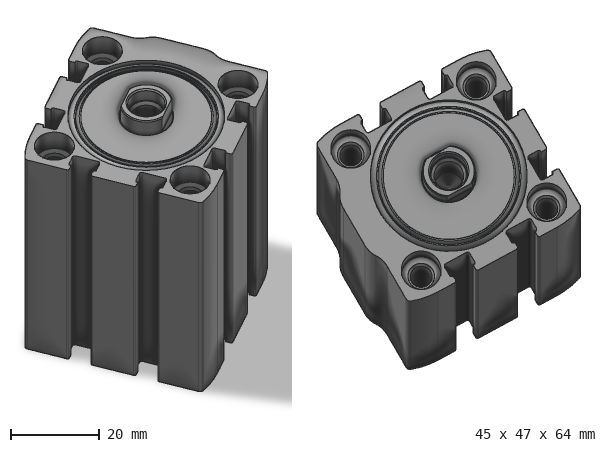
import cadquery as cq
import math

width = 45.0
housing_height = 60.0
half = width / 2
side_flat_half = 15.4
side_arc_radius = 19.0
corner_radius = 1.0
corner_search = 0.1
bump_height = 2.0
bump_flat_half = 5.0
bump_blend_radius = 6.0

slot_offset = 8.0
slot_opening = 5.2
slot_inner_width = 6.5
slot_depth = 4.9
lip_thickness = 1.65
lip_radius = 0.5
slot_deep_radius = 0.6
slot_lip_corner_radius = 0.4

hole_offset = 32.5 / 2
hole_diameter = 4.92
hole_chamfer_diameter = 6.0
counterbore_diameter = 9.0
counterbore_depth = 5.2

mouth_radius = 35.4 / 2
rim_outer_radius = 32.6 / 2
rim_inner_radius = 32.0 / 2
rim_recess = 0.4
rim_slope = math.radians(30)
cap_recess = 0.3
cap_face_radius = 29.6 / 2
cap_step_radius = 30.3 / 2
cap_step_depth = 0.2
cap_hole_chamfer = 0.2
cap_bevel_slope = math.radians(40)

rod_diameter = 12.0
rod_top = 64.0
rod_insertion = 20.0
rod_edge_chamfer = 0.25
flat_width = 10.0
flat_length = 4.3
flat_runout_slope = math.radians(40)
socket_diameter = 8.4
socket_chamfer = 0.35
socket_depth = 3.4
thread_chamfer_diameter = 8.0
thread_diameter = 6.65
thread_depth = 14.0
drill_half_angle = math.radians(59)


def make_profile():
    """Outer cross-section, extruded to the full housing height."""
    arc_centre_x = half - side_arc_radius
    corner_dy = half - side_flat_half
    corner_x = arc_centre_x + math.sqrt(side_arc_radius**2 - corner_dy**2)
    blend_half_run = math.sqrt(bump_blend_radius**2 - (bump_blend_radius - bump_height / 2)**2)
    blend_mid_x = bump_flat_half + blend_half_run
    blend_end_x = bump_flat_half + 2 * blend_half_run
    bump_top = half + bump_height
    blend_mid_y = half + bump_height / 2
    body = (
        cq.Workplane("XY")
        .moveTo(-corner_x, -half)
        .lineTo(corner_x, -half)
        .radiusArc((half, -side_flat_half), -side_arc_radius)
        .lineTo(half, side_flat_half)
        .radiusArc((corner_x, half), -side_arc_radius)
        .lineTo(blend_end_x, half)
        .radiusArc((blend_mid_x, blend_mid_y), bump_blend_radius)
        .radiusArc((bump_flat_half, bump_top), -bump_blend_radius)
        .lineTo(-bump_flat_half, bump_top)
        .radiusArc((-blend_mid_x, blend_mid_y), -bump_blend_radius)
        .radiusArc((-blend_end_x, half), bump_blend_radius)
        .lineTo(-corner_x, half)
        .radiusArc((-half, side_flat_half), -side_arc_radius)
        .lineTo(-half, -side_flat_half)
        .radiusArc((-corner_x, -half), -side_arc_radius)
        .close()
        .extrude(housing_height)
    )
    for sx in (-1, 1):
        for sy in (-1, 1):
            near = cq.selectors.BoxSelector(
                (sx * corner_x - corner_search, sy * half - corner_search, 0),
                (sx * corner_x + corner_search, sy * half + corner_search, housing_height),
            )
            body = body.edges(near).edges("|Z").fillet(corner_radius)
    return body


def make_slot(offset):
    """Cutter for one T-slot opening on the -Y side, centred at X = offset."""
    mouth = slot_opening / 2
    neck = (
        cq.Workplane("XY")
        .moveTo(-mouth - lip_radius, -half)
        .radiusArc((-mouth, -half + lip_radius), -lip_radius)
        .lineTo(-mouth, -half + lip_thickness)
        .lineTo(mouth, -half + lip_thickness)
        .lineTo(mouth, -half + lip_radius)
        .radiusArc((mouth + lip_radius, -half), -lip_radius)
        .close()
        .extrude(housing_height)
    )
    channel_depth = slot_depth - lip_thickness
    channel = (
        cq.Workplane("XY")
        .center(0, -half + lip_thickness + channel_depth / 2)
        .rect(slot_inner_width, channel_depth)
        .extrude(housing_height)
        .edges("|Z and >Y")
        .fillet(slot_deep_radius)
        .edges("|Z and <Y")
        .fillet(slot_lip_corner_radius)
    )
    return neck.union(channel).translate((offset, 0, 0))


def make_mounting_hole():
    """Cutter for one counterbored through hole on the Z axis."""
    seat = housing_height - counterbore_depth
    hole_radius = hole_diameter / 2
    chamfer_radius = hole_chamfer_diameter / 2
    return (
        cq.Workplane("XZ")
        .lineTo(hole_radius, 0)
        .lineTo(hole_radius, seat - (chamfer_radius - hole_radius))
        .lineTo(chamfer_radius, seat)
        .lineTo(counterbore_diameter / 2, seat)
        .lineTo(counterbore_diameter / 2, housing_height)
        .lineTo(0, housing_height)
        .close()
        .revolve(360, (0, 0), (0, 1))
    )


def make_front_recess():
    """Cutter that leaves the retaining rim and the cap face inside the bore mouth."""
    crest = housing_height - rim_recess
    valley = crest - (mouth_radius - rim_outer_radius) * math.tan(rim_slope)
    cap_face = housing_height - cap_recess
    cap_step = cap_face - cap_step_depth
    bevel_bottom = cap_step - (rim_inner_radius - cap_step_radius) * math.tan(cap_bevel_slope)
    return (
        cq.Workplane("XZ")
        .moveTo(0, housing_height)
        .lineTo(mouth_radius, housing_height)
        .lineTo(mouth_radius, valley)
        .lineTo(rim_outer_radius, crest)
        .lineTo(rim_inner_radius, crest)
        .lineTo(rim_inner_radius, bevel_bottom)
        .lineTo(cap_step_radius, cap_step)
        .lineTo(cap_face_radius, cap_step)
        .lineTo(cap_face_radius, cap_face)
        .lineTo(0, cap_face)
        .close()
        .revolve(360, (0, 0), (0, 1))
    )


def make_rod_hole():
    """Cutter for the blind rod hole with a small chamfer at the cap face."""
    rod_radius = rod_diameter / 2
    bottom = housing_height - rod_insertion
    cap_face = housing_height - cap_recess
    return (
        cq.Workplane("XZ")
        .moveTo(0, bottom)
        .lineTo(rod_radius, bottom)
        .lineTo(rod_radius, cap_face - cap_hole_chamfer)
        .lineTo(rod_radius + cap_hole_chamfer, cap_face)
        .lineTo(0, cap_face)
        .close()
        .revolve(360, (0, 0), (0, 1))
    )


def make_housing():
    body = make_profile()
    for side_angle in (-90, 0, 90):
        for offset in (-slot_offset, slot_offset):
            slot = make_slot(offset)
            body = body.cut(slot.rotate((0, 0, 0), (0, 0, 1), side_angle))
    for x in (-hole_offset, hole_offset):
        for y in (-hole_offset, hole_offset):
            body = body.cut(make_mounting_hole().translate((x, y, 0)))
    body = body.cut(make_front_recess())
    return body.cut(make_rod_hole())


def make_rod_socket():
    """Cutter for the stepped threaded hole in the rod end."""
    thread_radius = thread_diameter / 2
    thread_chamfer_radius = thread_chamfer_diameter / 2
    socket_radius = socket_diameter / 2
    thread_bottom = rod_top - thread_depth
    socket_bottom = rod_top - socket_depth
    return (
        cq.Workplane("XZ")
        .moveTo(0, thread_bottom - thread_radius / math.tan(drill_half_angle))
        .lineTo(thread_radius, thread_bottom)
        .lineTo(thread_radius, socket_bottom - (thread_chamfer_radius - thread_radius))
        .lineTo(thread_chamfer_radius, socket_bottom)
        .lineTo(socket_radius, socket_bottom)
        .lineTo(socket_radius, rod_top - socket_chamfer)
        .lineTo(socket_radius + socket_chamfer, rod_top)
        .lineTo(0, rod_top)
        .close()
        .revolve(360, (0, 0), (0, 1))
    )


def make_flat_cutter():
    """Cutter for the +X wrench flat; its lower end slopes out to the rod surface."""
    rod_radius = rod_diameter / 2
    flat_end = rod_top - flat_length
    runout_drop = (rod_radius - flat_width / 2) * math.tan(flat_runout_slope)
    return (
        cq.Workplane("XZ")
        .moveTo(flat_width / 2, rod_top)
        .lineTo(flat_width / 2, flat_end)
        .lineTo(rod_radius, flat_end - runout_drop)
        .lineTo(rod_radius, rod_top)
        .close()
        .extrude(rod_radius, both=True)
    )


def make_rod():
    bottom = housing_height - rod_insertion
    body = (
        cq.Workplane("XY")
        .workplane(offset=bottom)
        .circle(rod_diameter / 2)
        .extrude(rod_top - bottom)
        .faces(">Z")
        .chamfer(rod_edge_chamfer)
    )
    for angle in (0, 180):
        body = body.cut(make_flat_cutter().rotate((0, 0, 0), (0, 0, 1), angle))
    return body.cut(make_rod_socket())


housing = make_housing()
rod = make_rod()
result = cq.Compound.makeCompound([housing.val(), rod.val()])